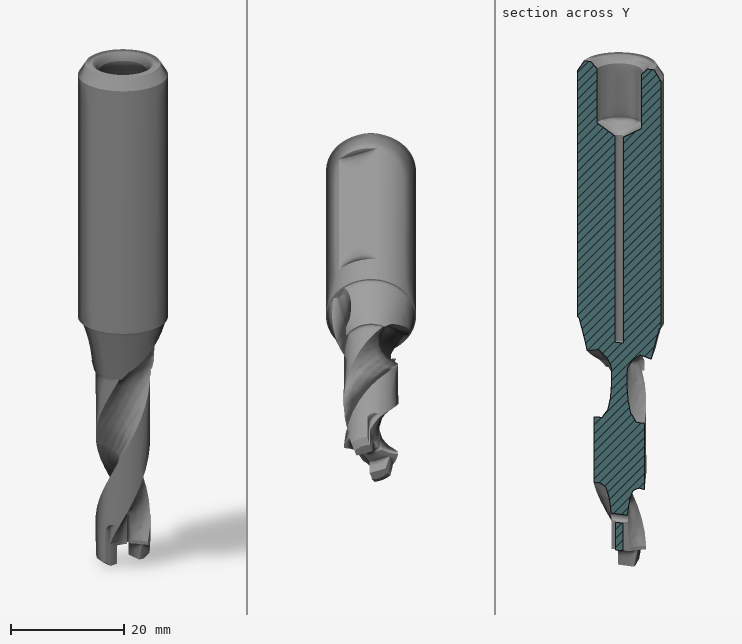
import cadquery as cq
import math

total_length = 94.7
neck_top = 46.3
neck_bottom = 36.4

shank_radius = 8.0
shank_chamfer_width = 1.3
shank_chamfer_height = 2.1
flat_depth = 0.85
flat_bottom = 52.7
flat_top = 87.9

socket_radius = 4.2
socket_depth = 11.4
socket_cone_angle = 118.0
countersink_radius = 5.4
coolant_radius = 0.8
coolant_bottom = 42.6

neck_top_radius = 7.7
neck_bottom_radius = 5.1
shaft_radius = 4.8
tip_radius = 3.7
tip_chamfer_height = 0.85

flute_count = 2
flute_pitch = 55.9
flute_half_angle = 50.0
web_radius = 1.5
flute_x_height = 7.9
helix_bottom = 4.2
helix_top = 37.9
runout_outward = 2.3
runout_sideways = 8.2
runout_height = neck_top - helix_top
flute_flank_length = 2 * shank_radius

seat_width = 4.3
seat_depth = 3.5
prong_top_half_width = 2.7
prong_bottom_half_width = 2.0
groove_width = 0.7
groove_web = 1.5
relief_hole_radius = 0.8
relief_hole_height = 9.6

recess_wall_x = 0.9
recess_floor_y = 3.9
recess_top = 8.4
recess_radius = 1.6

pin_radius = 0.9
pin_x = -0.43
pin_height = 6.1
pin_inner_y = 1.9

AXIS_START = (0, 0, 0)
AXIS_END = (0, 0, 1)
FULL_TURN = 360.0
QUARTER_TURN = 90.0


def polar(radius, degrees):
    """X and Y of a point at a radius and an angle."""
    angle = math.radians(degrees)
    return (radius * math.cos(angle), radius * math.sin(angle))


def flute_angle(height):
    """Direction, in degrees, that the first flute faces at a height."""
    return FULL_TURN * (height - flute_x_height) / flute_pitch


def both_sides(tool):
    """The tool and its copy half a turn around the axis."""
    return [tool.rotate(AXIS_START, AXIS_END, i * FULL_TURN / flute_count) for i in range(flute_count)]


def blank():
    """Turned shank, neck and shaft with the stepped socket bored from the top."""
    countersink_depth = countersink_radius - socket_radius
    socket_floor = total_length - socket_depth
    cone_slope = math.tan(math.radians(socket_cone_angle / 2))
    cone_depth = (socket_radius - coolant_radius) / cone_slope
    return (
        cq.Workplane("XZ")
        .moveTo(0, 0)
        .lineTo(tip_radius, 0)
        .lineTo(shaft_radius, tip_chamfer_height)
        .lineTo(shaft_radius, neck_bottom)
        .lineTo(neck_bottom_radius, neck_bottom)
        .lineTo(neck_top_radius, neck_top)
        .lineTo(shank_radius, neck_top)
        .lineTo(shank_radius, total_length - shank_chamfer_height)
        .lineTo(shank_radius - shank_chamfer_width, total_length)
        .lineTo(countersink_radius, total_length)
        .lineTo(socket_radius, total_length - countersink_depth)
        .lineTo(socket_radius, socket_floor)
        .lineTo(coolant_radius, socket_floor - cone_depth)
        .lineTo(coolant_radius, coolant_bottom)
        .lineTo(0, coolant_bottom)
        .close()
        .revolve(FULL_TURN, (0, 0), (0, 1))
    )


def clamping_flat():
    """Block that leaves a flat on the +Y side of the shank."""
    return (
        cq.Workplane("XY", origin=(0, shank_radius, flat_bottom))
        .rect(2 * shank_radius, 2 * flat_depth)
        .extrude(flat_top - flat_bottom)
    )


def flute_section(height):
    """Flute profile at a height: an arc through both land edges, with parallel flanks outside it."""
    facing = flute_angle(height)
    first_x, first_y = polar(shaft_radius, facing - flute_half_angle)
    outward_x, outward_y = polar(flute_flank_length, facing)
    return (
        cq.Workplane("XY", origin=(0, 0, height))
        .moveTo(first_x, first_y)
        .threePointArc(
            polar(web_radius, facing),
            polar(shaft_radius, facing + flute_half_angle),
        )
        .line(outward_x, outward_y)
        .lineTo(first_x + outward_x, first_y + outward_y)
        .close()
    )


def flute_tools():
    """Straight tip stretch, helical stretch and slanted runout of one flute."""
    straight = flute_section(helix_bottom).extrude(-helix_bottom)
    helix_height = helix_top - helix_bottom
    twist = FULL_TURN * helix_height / flute_pitch
    helix = flute_section(helix_bottom).twistExtrude(helix_height, twist)
    facing = flute_angle(helix_top)
    outward = cq.Vector(*polar(runout_outward, facing))
    sideways = cq.Vector(*polar(runout_sideways, facing + QUARTER_TURN))
    slant = outward + sideways + cq.Vector(0, 0, runout_height)
    section = cq.Face.makeFromWires(flute_section(helix_top).wire().val())
    runout = cq.Workplane(cq.Solid.extrudeLinear(section, slant))
    return [straight, helix, runout]


def insert_seat():
    """Slot across the tip that leaves two prongs."""
    return (
        cq.Workplane("XY")
        .rect(2 * shaft_radius, seat_width)
        .extrude(seat_depth)
    )


def prong_side():
    """Wedge that trims the +X side of the prongs to a slightly tapered face."""
    return (
        cq.Workplane("XZ")
        .moveTo(prong_bottom_half_width, 0)
        .lineTo(prong_top_half_width, seat_depth)
        .lineTo(shaft_radius, seat_depth)
        .lineTo(shaft_radius, 0)
        .close()
        .extrude(shaft_radius, both=True)
    )


def relief_groove():
    """Narrow groove in the +X flute, running from the seat up to the relief hole."""
    return (
        cq.Workplane("XY")
        .center(groove_web / 2, 0)
        .box(shaft_radius, groove_width, relief_hole_height, centered=(False, True, False))
    )


def relief_hole():
    """Hole along X through the web at the upper end of the grooves."""
    return (
        cq.Workplane("YZ")
        .center(0, relief_hole_height)
        .circle(relief_hole_radius)
        .extrude(shaft_radius, both=True)
    )


def edge_recess():
    """Flat-bottomed recess with a rounded upper corner beside the flute edge on the -Y land."""
    corner = recess_radius * (1 - math.sqrt(0.5))
    return (
        cq.Workplane("XZ", origin=(0, -recess_floor_y, 0))
        .moveTo(recess_wall_x, 0)
        .lineTo(recess_wall_x, recess_top - recess_radius)
        .threePointArc(
            (recess_wall_x + corner, recess_top - corner),
            (recess_wall_x + recess_radius, recess_top),
        )
        .lineTo(shaft_radius, recess_top)
        .lineTo(shaft_radius, 0)
        .close()
        .extrude(shaft_radius - recess_floor_y)
    )


def cross_pin():
    """Pin in the -Y land, its outer end flush with the shaft surface."""
    rod = (
        cq.Workplane("XZ", origin=(pin_x, -pin_inner_y, pin_height))
        .circle(pin_radius)
        .extrude(shaft_radius)
    )
    shaft = cq.Workplane("XY").circle(shaft_radius).extrude(neck_bottom)
    return rod.intersect(shaft)


def drill_body(pins):
    """Shank, neck and fluted shaft in one piece, with a matching hole for each pin."""
    body = blank().cut(clamping_flat())
    for stretch in flute_tools():
        for tool in both_sides(stretch):
            body = body.cut(tool)
    body = body.cut(insert_seat()).cut(relief_hole())
    for feature in (relief_groove(), prong_side(), edge_recess()):
        for tool in both_sides(feature):
            body = body.cut(tool)
    for pin in pins:
        body = body.cut(pin)
    return body


pins = both_sides(cross_pin())
drill = drill_body(pins)

result = cq.Compound.makeCompound([drill.val(), *[pin.val() for pin in pins]])